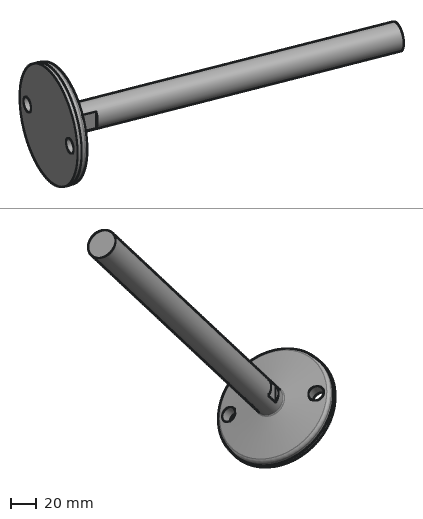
import cadquery as cq
import math

total_length = 302.0
base_diameter = 98.0
foot_diameter = 97.8
shaft_diameter = 24.0

base_height = 3.5
rim_height = 9.5
cone_angle = 9.5
rim_fillet = 3.0
neck_fillet = 1.0

flats_start = 24.2
flats_length = 12.5
flats_width = 18.7

hole_diameter = 12.5
hole_offset = 36.0
hole_cut_length = 30.2

foot_radius = foot_diameter / 2
shaft_radius = shaft_diameter / 2
cone_slope = math.tan(math.radians(cone_angle))
neck_y = rim_height + (foot_radius - shaft_radius) * cone_slope


def cylinder_along_y(diameter, start, end):
    return cq.Workplane("XZ", origin=(0, start, 0)).circle(diameter / 2).extrude(start - end)


def ring_selector(radius, height):
    """Select the circular edge of the given radius around the Y axis at the given height."""
    margin = 0.3
    reach = radius + margin
    return cq.selectors.BoxSelector(
        (-reach, height - margin, -reach), (reach, height + margin, reach), boundingbox=True
    )


def make_body():
    """Revolve the foot and shaft, then round the rim and the neck."""
    profile = (
        cq.Workplane("XY")
        .moveTo(0, 0)
        .lineTo(foot_radius, 0)
        .lineTo(foot_radius, rim_height)
        .lineTo(shaft_radius, neck_y)
        .lineTo(shaft_radius, total_length)
        .lineTo(0, total_length)
        .close()
    )
    body = profile.revolve(360, (0, 0, 0), (0, 1, 0))
    body = body.edges(ring_selector(foot_radius, rim_height)).fillet(rim_fillet)
    return body.edges(ring_selector(shaft_radius, neck_y)).fillet(neck_fillet)


def make_flats_cutter():
    """Block with a central slab left out, leaving two flats facing -X and +X."""
    flats_middle = flats_start + flats_length / 2
    blank = cq.Workplane("XY").box(2 * shaft_diameter, flats_length, 2 * shaft_diameter)
    slab = cq.Workplane("XY").box(flats_width, flats_length, 2 * shaft_diameter)
    return blank.cut(slab).translate((0, flats_middle, 0))


def make_hole_cutter(side):
    """Tilted cylinder crossing the flat face at the hole offset; side is -1 or 1."""
    hole = cylinder_along_y(hole_diameter, -hole_cut_length / 2, hole_cut_length)
    return hole.rotate((0, 0, 0), (0, 0, 1), -side * cone_angle).translate((side * hole_offset, 0, 0))


result = make_body()
result = result.union(cylinder_along_y(base_diameter, 0, base_height))
result = result.cut(make_flats_cutter())
for side in (-1, 1):
    result = result.cut(make_hole_cutter(side))